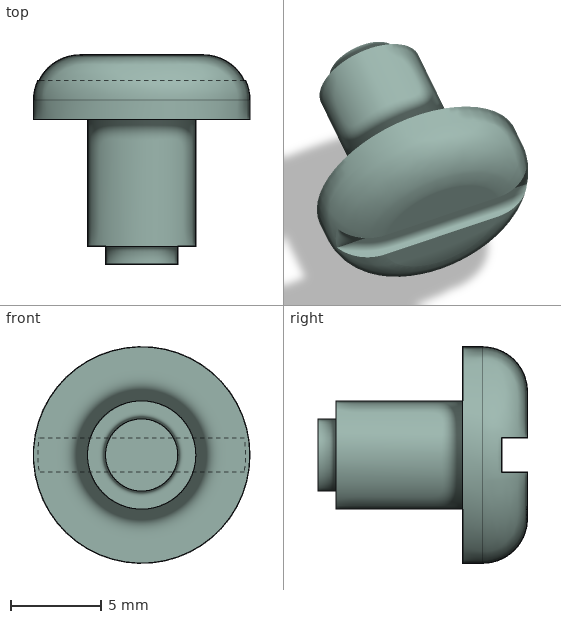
import cadquery as cq

head_diameter = 12.0
head_height = 3.6
head_rounding = 2.5
shank_diameter = head_diameter / 2
shank_length = 7.01
tip_diameter = head_diameter / 3
tip_length = 1.0
slot_width = 1.9
slot_depth = 1.42


def cylinder_along_y(diameter, y_start, length):
    """Solid cylinder on the Y axis, running from y_start towards +Y."""
    return cq.Workplane("XZ", origin=(0, y_start, 0)).circle(diameter / 2).extrude(-length)


def make_head():
    """Head with its seat at Y = 0, a rounded rim and a driver slot along X."""
    head = cylinder_along_y(head_diameter, 0, head_height)
    head = head.faces(">Y").edges().fillet(head_rounding)
    slot = (
        cq.Workplane("XY")
        .box(head_diameter, slot_depth, slot_width)
        .translate((0, head_height - slot_depth / 2, 0))
    )
    return head.cut(slot)


shank = cylinder_along_y(shank_diameter, -shank_length, shank_length)
tip = cylinder_along_y(tip_diameter, -shank_length - tip_length, tip_length)

result = make_head().union(shank).union(tip)